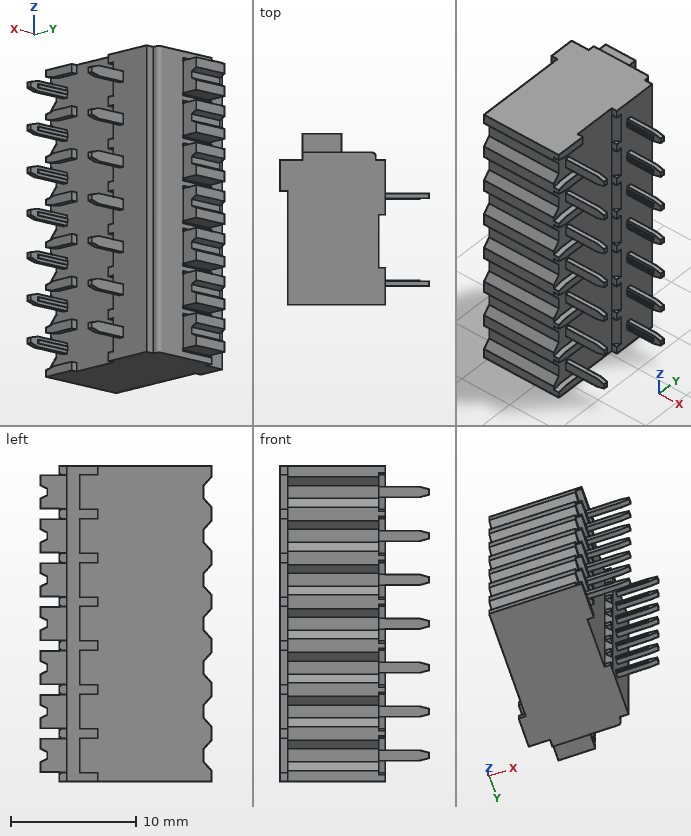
import cadquery as cq
import math


POLES = 7
PITCH = 3.5
LENGTH = 25.2
CELL_WIDTH = 2.75
MOUTH_WIDTH = 3.1
LIP = (MOUTH_WIDTH - CELL_WIDTH) / 2

FLANGE_DEPTH = 0.6
BACK_X = 8.42
RECESS_DEPTH = 0.53
RECESS_X = BACK_X - RECESS_DEPTH
FOOT_TOP = 2.97
STEP_Y = 7.18
SHOULDER_Y = 11.57
FLANGE_BOTTOM = 9.07
FLANGE_STRIP = 1.03
FOOT_TAPER = 0.9

PLATE_TOP = 12.17
PLATE_FRONT = 1.8
PLATE_BACK = 7.65
PLATE_RADIUS = 0.35
TAB_TOP = 13.65
TAB_BACK = 4.91
TAB_WIDTH = 2.67
NOTCH_DEPTH = 0.53
NOTCH_MOUTH = 1.05
NOTCH_FLOOR = 0.53

GROOVE_DEPTH = 0.63
GROOVE_MOUTH = 2.42
GROOVE_FLOOR = 1.03

PIN_END = 11.9
PIN_WIDTH = 0.85
PIN_THICKNESS = 0.4
PIN_EMBED = 1.0
PIN_ROOT = RECESS_X - PIN_EMBED
TIP_LENGTH = 0.75
TIP_ANGLE = 15.0
PIN_ROWS = 7.0
LOWER_PIN_Y = 1.7
RIDGE_HEIGHT = 0.088
RIDGE_WIDTH = 0.3

pole_centres = [(i - (POLES - 1) / 2) * PITCH for i in range(POLES)]


def block(x0, x1, y0, y1, width, z=0.0):
    """Box between two X and two Y positions, centred on z."""
    return (
        cq.Workplane("XY")
        .box(x1 - x0, y1 - y0, width, centered=(False, False, True))
        .translate((x0, y0, z))
    )


def prism_along_x(points, x0, x1, z):
    """Extrude a (Y, Z) outline along X, with the outline's Z measured from z."""
    return (
        cq.Workplane("YZ", origin=(x0, 0, z))
        .polyline(points)
        .close()
        .extrude(x1 - x0)
    )


def trapezoid(y_mouth, y_floor, mouth, floor):
    """(Y, Z) outline of a groove that narrows from its mouth to its floor."""
    return [
        (y_mouth, -mouth / 2),
        (y_mouth, mouth / 2),
        (y_floor, floor / 2),
        (y_floor, -floor / 2),
    ]


def housing():
    """Constant side profile over the full length of the row."""
    return (
        cq.Workplane("XY")
        .moveTo(FLANGE_DEPTH, 0)
        .lineTo(BACK_X, 0)
        .lineTo(BACK_X, FOOT_TOP)
        .lineTo(RECESS_X, FOOT_TOP)
        .lineTo(RECESS_X, STEP_Y)
        .lineTo(BACK_X, STEP_Y)
        .lineTo(BACK_X, SHOULDER_Y)
        .lineTo(PLATE_BACK, SHOULDER_Y)
        .lineTo(PLATE_BACK, PLATE_TOP - PLATE_RADIUS)
        .radiusArc((PLATE_BACK - PLATE_RADIUS, PLATE_TOP), -PLATE_RADIUS)
        .lineTo(PLATE_FRONT, PLATE_TOP)
        .lineTo(PLATE_FRONT, SHOULDER_Y)
        .lineTo(0, SHOULDER_Y)
        .lineTo(0, FLANGE_BOTTOM)
        .lineTo(FLANGE_DEPTH, FLANGE_BOTTOM)
        .close()
        .extrude(LENGTH / 2, both=True)
    )


def flange_window(z):
    """Opening between two flange ribs, below the unbroken strip."""
    return block(0, FLANGE_DEPTH, FLANGE_BOTTOM, SHOULDER_Y - FLANGE_STRIP, CELL_WIDTH, z)


def foot_groove(z):
    """Groove along the underside of the foot."""
    return prism_along_x(trapezoid(0, GROOVE_DEPTH, GROOVE_MOUTH, GROOVE_FLOOR), FLANGE_DEPTH, BACK_X, z)


def foot_pocket(z):
    """Gap between two foot stubs, narrowing from the underside."""
    taper = trapezoid(0, FOOT_TAPER, MOUTH_WIDTH, CELL_WIDTH)
    mouth = prism_along_x(taper, RECESS_X, BACK_X, z)
    return mouth.union(block(RECESS_X, BACK_X, FOOT_TAPER, FOOT_TOP, CELL_WIDTH, z))


def step_ramp(z):
    """45 degree cut that eases the back step between two partitions."""
    return (
        cq.Workplane("XY", origin=(0, 0, z))
        .polyline([(RECESS_X, STEP_Y), (BACK_X, STEP_Y), (BACK_X, STEP_Y + RECESS_DEPTH)])
        .close()
        .extrude(CELL_WIDTH / 2, both=True)
    )


def plate_slot(z):
    """Slot in the top plate around a latch tab, with bevelled upper edges."""
    bevel = trapezoid(PLATE_TOP, PLATE_TOP - LIP, MOUTH_WIDTH, CELL_WIDTH)
    slot = block(PLATE_FRONT, TAB_BACK, SHOULDER_Y, PLATE_TOP - LIP, CELL_WIDTH, z)
    return slot.union(prism_along_x(bevel, PLATE_FRONT, TAB_BACK, z))


def latch_tab(z):
    """Tab above the top plate with a notch in its upper edge."""
    tab = block(PLATE_FRONT, TAB_BACK, SHOULDER_Y, TAB_TOP, TAB_WIDTH, z)
    notch = trapezoid(TAB_TOP, TAB_TOP - NOTCH_DEPTH, NOTCH_MOUTH, NOTCH_FLOOR)
    return tab.cut(prism_along_x(notch, PLATE_FRONT, TAB_BACK, z))


def pin(y, z, ridge_side):
    """Flat pin with a tapered tip and a ridge on its +Y (1) or -Y (-1) face."""
    half = PIN_WIDTH / 2
    tip_half = half - TIP_LENGTH * math.tan(math.radians(TIP_ANGLE))
    tip_start = PIN_END - TIP_LENGTH
    blade = (
        cq.Workplane("XZ", origin=(0, y, z))
        .polyline([
            (PIN_ROOT, -half),
            (tip_start, -half),
            (PIN_END, -tip_half),
            (PIN_END, tip_half),
            (tip_start, half),
            (PIN_ROOT, half),
        ])
        .close()
        .extrude(PIN_THICKNESS / 2, both=True)
    )
    ridge_face = y + ridge_side * (PIN_THICKNESS / 2 + RIDGE_HEIGHT)
    ridge = block(PIN_ROOT, tip_start, min(y, ridge_face), max(y, ridge_face), RIDGE_WIDTH, z)
    return blade.union(ridge)


result = housing()
for centre in pole_centres:
    for cutter in (flange_window, foot_groove, foot_pocket, step_ramp, plate_slot):
        result = result.cut(cutter(centre))
    result = result.union(latch_tab(centre))
    result = result.union(pin(LOWER_PIN_Y, centre, 1))
    result = result.union(pin(LOWER_PIN_Y + PIN_ROWS, centre, -1))